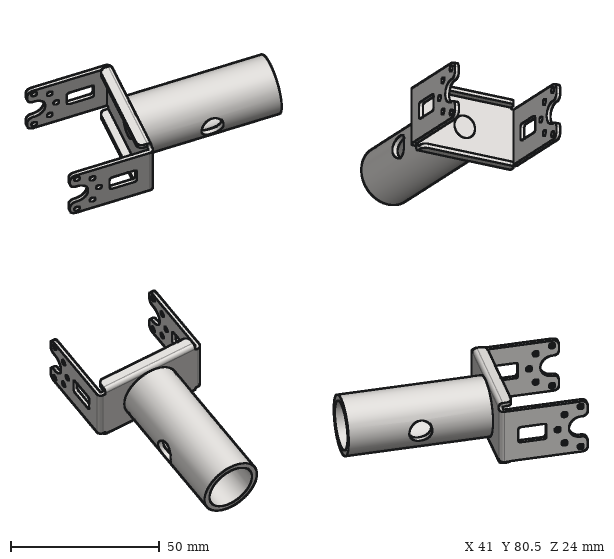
import cadquery as cq
import math

overall_length = 80.5
tube_length = 50.1
leg_reach = overall_length - tube_length

bracket_width = 41.0
bracket_height = 24.0
sheet = 1.5
bend_radius = sheet
leg_height = 20.0
flange_width = 36.0
flange_reach = 4.8
corner_radius = 2.0
relief_radius = 0.5

window_length = 9.8
window_height = 6.0
window_offset = 6.3
window_radius = 1.0
notch_radius = 4.0
notch_inset = 2.5
notch_y = notch_inset - leg_reach
bolt_diameter = 2.0
bolt_circle_radius = 8.0
bolt_angles = [90, 135, 180, 225, 270]

tube_diameter = 21.0
bore_diameter = 17.0
end_wall = (tube_diameter - bore_diameter) / 2
cross_hole_diameter = 8.0
spigot_diameter = 8.0


def across_x(diameter, y, z=0):
    """Cylinder along X, long enough to pass through the whole bracket."""
    return (
        cq.Workplane("YZ")
        .center(y, z)
        .circle(diameter / 2)
        .extrude(bracket_width / 2, both=True)
    )


def leg_channel():
    """U-shaped strip: the middle of the plate with both long legs, rounded at their ends."""
    round_end = across_x(leg_height, notch_y)
    envelope = cq.Workplane("XY").box(bracket_width, leg_reach, leg_height)
    outer = (
        cq.Workplane("XY")
        .box(bracket_width, -notch_y, leg_height)
        .translate((0, notch_y / 2, 0))
        .union(round_end)
        .intersect(envelope.translate((0, -leg_reach / 2, 0)))
        .edges("|Z and >Y")
        .fillet(bend_radius)
        .faces("<Y")
        .edges("|X")
        .fillet(corner_radius)
    )
    inner = cq.Workplane("XY").box(bracket_width - 2 * sheet, leg_reach, leg_height)
    return outer.cut(inner.translate((0, -leg_reach / 2 - sheet, 0)))


def flange_channel():
    """U-shaped strip: the full-height plate with its short upper and lower flanges."""
    outer = (
        cq.Workplane("XY")
        .box(flange_width, flange_reach, bracket_height)
        .translate((0, -flange_reach / 2, 0))
        .edges("|X and >Y")
        .fillet(bend_radius)
        .edges("|Z and <Y")
        .fillet(corner_radius)
    )
    inner = cq.Workplane("XY").box(flange_width, flange_reach, bracket_height - 2 * sheet)
    return outer.cut(inner.translate((0, -flange_reach / 2 - sheet, 0)))


def relief_fillet(side_x, side_z):
    """Concave round in the plate corner between a leg and a flange."""
    corner_x = side_x * flange_width / 2
    corner_z = side_z * leg_height / 2
    round_x = corner_x + side_x * relief_radius
    round_z = corner_z + side_z * relief_radius
    diagonal = relief_radius * (1 - math.sqrt(0.5))
    return (
        cq.Workplane("XZ")
        .moveTo(corner_x, corner_z)
        .lineTo(round_x, corner_z)
        .threePointArc(
            (corner_x + side_x * diagonal, corner_z + side_z * diagonal), (corner_x, round_z)
        )
        .close()
        .extrude(sheet)
    )


def leg_windows():
    return (
        cq.Workplane("XY")
        .box(bracket_width, window_length, window_height)
        .edges("|X")
        .fillet(window_radius)
        .translate((0, -window_offset - window_length / 2, 0))
    )


def leg_notches():
    """Round-bottomed opening whose mouth flares out with convex rounds at the leg tips."""
    rounding_start = corner_radius - leg_reach
    mouth_half = notch_radius + corner_radius
    diagonal = corner_radius * (1 - math.sqrt(0.5))
    return (
        cq.Workplane("YZ")
        .moveTo(-leg_reach, mouth_half)
        .threePointArc(
            (-leg_reach + diagonal, notch_radius + diagonal), (rounding_start, notch_radius)
        )
        .lineTo(notch_y, notch_radius)
        .threePointArc((notch_y + notch_radius, 0), (notch_y, -notch_radius))
        .lineTo(rounding_start, -notch_radius)
        .threePointArc(
            (-leg_reach + diagonal, -notch_radius - diagonal), (-leg_reach, -mouth_half)
        )
        .close()
        .extrude(bracket_width / 2, both=True)
    )


def spigot():
    """Round stub that fills the central hole of the plate."""
    return cq.Workplane("XZ").circle(spigot_diameter / 2).extrude(sheet)


def make_bracket():
    bracket = leg_channel().union(flange_channel())
    for side_x in (-1, 1):
        for side_z in (-1, 1):
            bracket = bracket.union(relief_fillet(side_x, side_z))
    bracket = bracket.cut(leg_windows()).cut(leg_notches())
    for angle in bolt_angles:
        hole_y = notch_y - bolt_circle_radius * math.cos(math.radians(angle))
        hole_z = bolt_circle_radius * math.sin(math.radians(angle))
        bracket = bracket.cut(across_x(bolt_diameter, hole_y, hole_z))
    return bracket.cut(spigot())


def make_tube():
    """Tube closed at the bracket end, with a cross hole and a spigot on the end wall."""
    body = cq.Workplane("XZ").circle(tube_diameter / 2).extrude(-tube_length)
    bore = (
        cq.Workplane("XZ", origin=(0, end_wall, 0))
        .circle(bore_diameter / 2)
        .extrude(end_wall - tube_length)
    )
    body = body.cut(bore).cut(across_x(cross_hole_diameter, tube_length / 2))
    return body.union(spigot())


bracket = make_bracket()
tube = make_tube()
result = cq.Compound.makeCompound([bracket.val(), tube.val()])